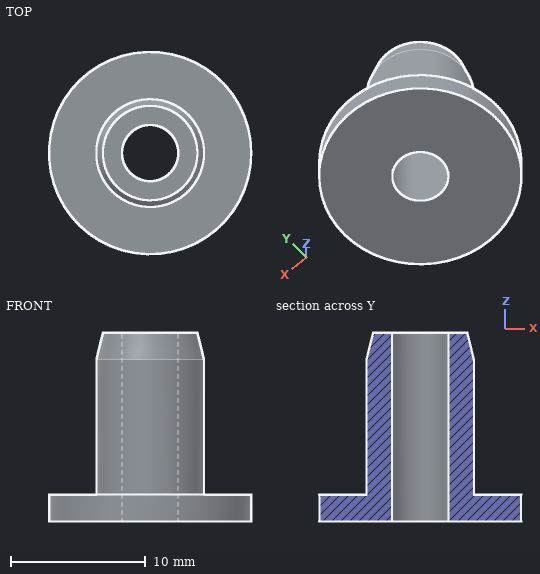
import cadquery as cq

flange_diameter = 15.0
flange_thickness = 2.0
shank_diameter = 8.0
tip_diameter = 7.0
bore_diameter = 4.15
total_height = 14.0
taper_height = 2.0

taper_start = total_height - taper_height

bushing_profile = (
    cq.Workplane("XZ")
    .moveTo(bore_diameter / 2, 0)
    .lineTo(flange_diameter / 2, 0)
    .lineTo(flange_diameter / 2, flange_thickness)
    .lineTo(shank_diameter / 2, flange_thickness)
    .lineTo(shank_diameter / 2, taper_start)
    .lineTo(tip_diameter / 2, total_height)
    .lineTo(bore_diameter / 2, total_height)
    .close()
)

result = bushing_profile.revolve(360, (0, 0, 0), (0, 1, 0))